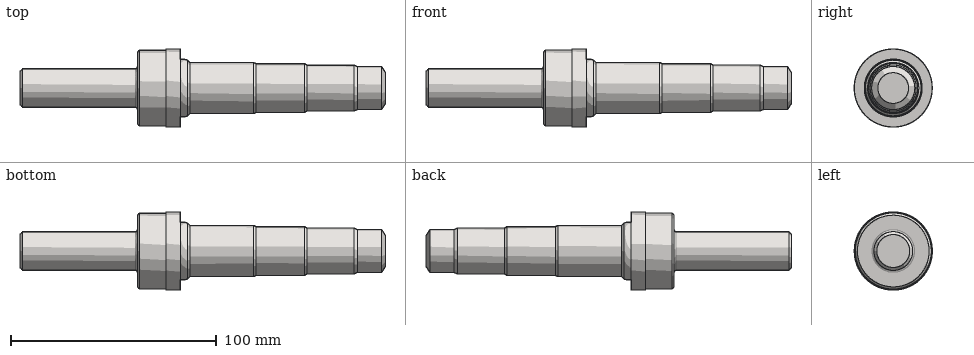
import cadquery as cq

length = 177.8

shank_radius = 9.5
shank_chamfer = 1.5
collar_start = 57.0
collar_radius = 18.5
collar_chamfer = 1.0
root_round = 0.9
flange_start = 71.0
flange_end = 78.0
flange_radius = 19.0

shoulder_crown = (80.0, 14.0)
shoulder_base_radius = 13.9
shoulder_bevel_start = (81.6, 13.5)
shoulder_end = 82.7
seat_radius = 12.5
steps = [
    (113.6, 114.9, 12.0),
    (138.3, 139.5, 11.2),
    (162.3, 164.1, 10.5),
]
nose_chamfer_length = 2.0
nose_chamfer_depth = 3.0

round_inset = 1 - 0.5 ** 0.5

profile = (
    cq.Workplane("XY")
    .moveTo(0, 0)
    .lineTo(0, shank_radius - shank_chamfer)
    .lineTo(shank_chamfer, shank_radius)
    .lineTo(collar_start - root_round, shank_radius)
)

profile = profile.threePointArc(
    (
        collar_start - root_round * round_inset,
        shank_radius + root_round * round_inset,
    ),
    (collar_start, shank_radius + root_round),
)

profile = (
    profile.lineTo(collar_start, collar_radius - collar_chamfer)
    .lineTo(collar_start + collar_chamfer, collar_radius)
    .lineTo(flange_start, collar_radius)
    .lineTo(flange_start, flange_radius)
    .lineTo(flange_end, flange_radius)
)

profile = (
    profile.lineTo(flange_end, shoulder_base_radius)
    .threePointArc(shoulder_crown, shoulder_bevel_start)
    .lineTo(shoulder_end, seat_radius)
)

radius = seat_radius
for bevel_start, bevel_end, next_radius in steps:
    profile = profile.lineTo(bevel_start, radius).lineTo(bevel_end, next_radius)
    radius = next_radius

profile = (
    profile.lineTo(length - nose_chamfer_length, radius)
    .lineTo(length, radius - nose_chamfer_depth)
    .lineTo(length, 0)
    .close()
)

result = profile.revolve(360, (0, 0, 0), (1, 0, 0)).translate((-length / 2, 0, 0))